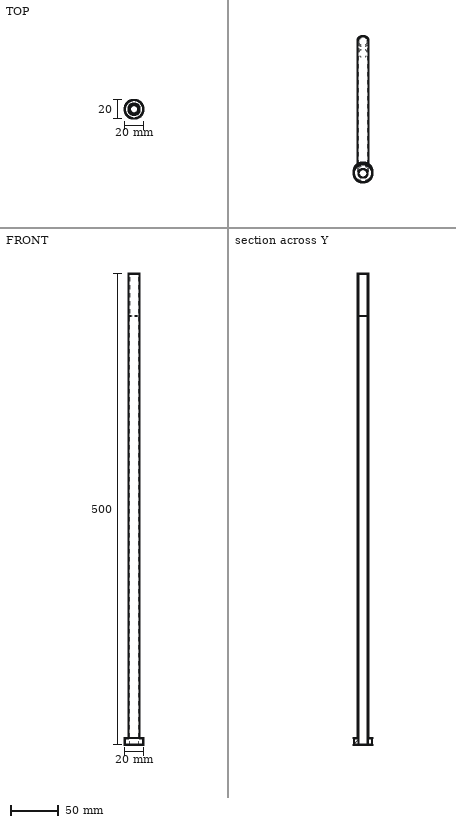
import cadquery as cq

total_length = 500.0
head_diameter = 20.0
head_height = 7.0
body_diameter = 12.0
neck_fillet_radius = 0.8

guide_bore_diameter = 9.0
guide_bore_length = 45.0
relief_bore_diameter = 9.5


def make_profile():
    """Half section of the sleeve in the XZ plane, on the -X side of the axis."""
    head_radius = head_diameter / 2
    body_radius = body_diameter / 2
    guide_radius = guide_bore_diameter / 2
    relief_radius = relief_bore_diameter / 2
    relief_top = total_length - guide_bore_length
    fillet_foot_radius = body_radius + neck_fillet_radius
    fillet_top = head_height + neck_fillet_radius
    return (
        cq.Workplane("XZ")
        .moveTo(-relief_radius, 0)
        .lineTo(-head_radius, 0)
        .lineTo(-head_radius, head_height)
        .lineTo(-fillet_foot_radius, head_height)
        .radiusArc((-body_radius, fillet_top), -neck_fillet_radius)
        .lineTo(-body_radius, total_length)
        .lineTo(-guide_radius, total_length)
        .lineTo(-guide_radius, relief_top)
        .lineTo(-relief_radius, relief_top)
        .close()
    )


axis_start = (0, 0, 0)
axis_end = (0, 1, 0)
result = make_profile().revolve(360, axis_start, axis_end)